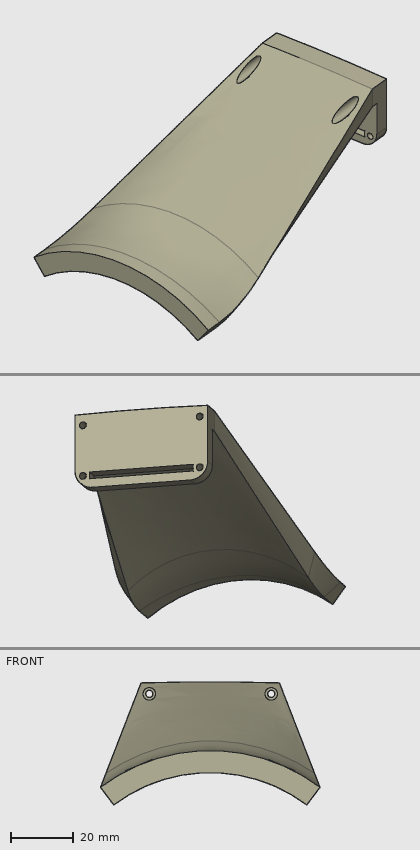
import cadquery as cq
import math

length = 111.7

saddle_outer_radius = 58.9
saddle_wall = 7.1
saddle_half_angle = math.radians(37)
saddle_inner_radius = saddle_outer_radius - saddle_wall
saddle_axis_z = -saddle_inner_radius * math.cos(saddle_half_angle)
bend_y = 17.4

outer_mid_reach = 12.3
outer_corner_reach = 11.5
inner_mid_reach = 11.4
inner_corner_reach = 7.6
bend_reaches = (
    outer_corner_reach,
    outer_mid_reach,
    outer_corner_reach,
    inner_corner_reach,
    inner_mid_reach,
    inner_corner_reach,
)
bend_steps = 4

height = 39.8
tail_width = 44.7
tail_crown = 0.3
tail_length = 7.6
tail_thickness = 6.8
lip_thickness = 5.3
lip_bottom_z = 15.0
lip_corner_radius = 5.8
tail_y = length - tail_length
lip_y = length - lip_thickness
tail_edge_z = height - tail_crown
tail_bottom_z = tail_edge_z - tail_thickness

hole_spacing = 39.3
hole_diameter = 2.2
head_diameter = 4.0
screw_z = 35.9
locating_z = 19.0
slot_length = 34.9
slot_height = 2.2


def saddle_point(radius, angle):
    """Local (X, Z) of a point on the saddle, with the angle taken from straight up."""
    return (radius * math.sin(angle), saddle_axis_z + radius * math.cos(angle))


def section(y):
    """Sketch plane facing -Y, so its local axes are X and Z."""
    return cq.Workplane("XZ", origin=(0, y, 0))


def saddle_profile(y):
    """Six outline points: outer left, middle, right, then inner right, middle, left."""
    angle = saddle_half_angle
    outer = [saddle_point(saddle_outer_radius, turn) for turn in (-angle, 0, angle)]
    inner = [saddle_point(saddle_inner_radius, turn) for turn in (angle, 0, -angle)]
    return [cq.Vector(x, y, z) for x, z in outer + inner]


def tail_profile():
    """The same six outline points on the front of the tail block."""
    half = tail_width / 2
    outer = [(-half, tail_edge_z), (0, height), (half, tail_edge_z)]
    inner = [(half, tail_bottom_z), (0, tail_bottom_z + tail_crown), (-half, tail_bottom_z)]
    return [cq.Vector(x, tail_y, z) for x, z in outer + inner]


def bend_profile(position):
    """Outline within the bend; position runs from 0 at the saddle to 1 at the neck.

    Each outline point follows a parabola tangent to the saddle and to the straight neck.
    """
    points = []
    for kink, tail, reach in zip(saddle_profile(bend_y), tail_profile(), bend_reaches):
        enter = kink - cq.Vector(0, reach, 0)
        leave = kink + (tail - kink) * (reach / (tail_y - bend_y))
        before = enter * (1 - position) + kink * position
        after = kink * (1 - position) + leave * position
        points.append(before * (1 - position) + after * position)
    return points


def outline(points):
    """Closed outline with an outer arc, an inner arc and two straight sides."""
    outer_left, outer_mid, outer_right, inner_right, inner_mid, inner_left = points
    return cq.Wire.assembleEdges(
        [
            cq.Edge.makeThreePointArc(outer_left, outer_mid, outer_right),
            cq.Edge.makeLine(outer_right, inner_right),
            cq.Edge.makeThreePointArc(inner_right, inner_mid, inner_left),
            cq.Edge.makeLine(inner_left, outer_left),
        ]
    )


def skin(profiles, ruled):
    """Faces of a tube of outlines, open at both ends."""
    return cq.Solid.makeLoft([outline(points) for points in profiles], ruled).Faces()


def make_arm():
    """Straight saddle, rounded bend and straight neck, closed by flat ends."""
    saddle_end = saddle_profile(0)
    bend = [bend_profile(step / bend_steps) for step in range(bend_steps + 1)]
    tail_end = tail_profile()
    faces = skin([saddle_end, bend[0]], True)
    faces += skin(bend, False)
    faces += skin([bend[-1], tail_end], True)
    faces += [cq.Face.makeFromWires(outline(points)) for points in (saddle_end, tail_end)]
    shell = cq.Shell.makeShell(faces)
    return cq.Workplane(cq.Solid.makeSolid(shell))


def make_tail():
    """Block continuing the neck's end outline, with the round-cornered lip below it."""
    front = outline(tail_profile())
    block = cq.Workplane(cq.Solid.extrudeLinear(front, [], cq.Vector(0, tail_length, 0)))
    lip_height = tail_edge_z - lip_bottom_z
    lip = (
        section(lip_y)
        .center(0, lip_bottom_z + lip_height / 2)
        .rect(tail_width, lip_height)
        .extrude(-lip_thickness)
        .edges("|Y and <Z")
        .fillet(lip_corner_radius)
    )
    return block.union(lip)


def make_holes():
    """Through holes in the lip, and screw-head clearance from the lip forward."""
    sides = (-hole_spacing / 2, hole_spacing / 2)
    screws = [(x, screw_z) for x in sides]
    locators = [(x, locating_z) for x in sides]
    face = section(lip_y)
    holes = face.pushPoints(screws + locators).circle(hole_diameter / 2).extrude(-lip_thickness)
    heads = face.pushPoints(screws).circle(head_diameter / 2).extrude(lip_y)
    slot = face.center(0, locating_z).rect(slot_length, slot_height).extrude(-lip_thickness)
    return holes.union(heads).union(slot)


result = make_arm().union(make_tail()).cut(make_holes())